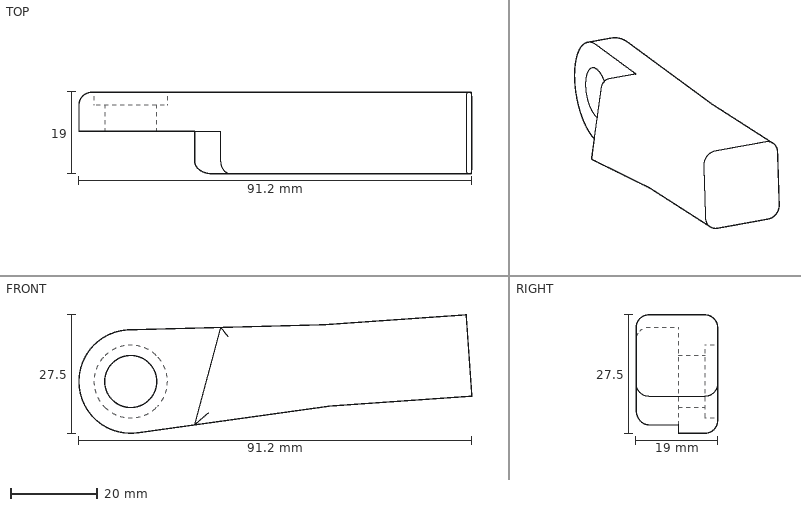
import cadquery as cq
import math

total_length = 91.2
total_height = 27.5
depth = 19.0
eye_radius = 12.0
eye_top_x = -0.9
hole_diameter = 12.0
recess_diameter = 17.0
recess_depth = 3.0
tongue_thickness = 9.1
edge_radius = 3.0
grip_width = 19.0
grip_length = 33.0
grip_angle = math.radians(4.0)
step_axis_x = 17.5
step_lean = math.radians(15.0)
cut_margin = 18.2

back_y = depth / 2
tongue_front_y = back_y - tongue_thickness


def lower_tangent_point(point):
    """Point where a line from an outside point touches the underside of the eye."""
    distance = math.hypot(*point)
    angle = math.atan2(point[1], point[0]) - math.acos(eye_radius / distance)
    return eye_radius * math.cos(angle), eye_radius * math.sin(angle)


along = (math.cos(grip_angle), math.sin(grip_angle))
across = (math.sin(grip_angle), -math.cos(grip_angle))
end_top_z = total_height - eye_radius
end_bottom_x = total_length - eye_radius
end_top = (end_bottom_x - grip_width * across[0], end_top_z)
end_bottom = (end_bottom_x, end_top_z + grip_width * across[1])
bend_top = (end_top[0] - grip_length * along[0], end_top[1] - grip_length * along[1])
bend_bottom = (end_bottom[0] - grip_length * along[0], end_bottom[1] - grip_length * along[1])

eye_top = (eye_top_x, math.sqrt(eye_radius**2 - eye_top_x**2))
eye_bottom = lower_tangent_point(bend_bottom)


def make_body():
    """Side outline of the lever extruded over the full depth."""
    return (
        cq.Workplane("XZ", origin=(0, back_y, 0))
        .moveTo(*eye_top)
        .lineTo(*bend_top)
        .lineTo(*end_top)
        .lineTo(*end_bottom)
        .lineTo(*bend_bottom)
        .lineTo(*eye_bottom)
        .threePointArc((-eye_radius, 0), eye_top)
        .close()
        .extrude(depth)
    )


def make_step_cut():
    """Block in front of the tongue, bounded by the leaning step face."""
    reach = eye_radius + cut_margin
    shift = reach * math.tan(step_lean)
    return (
        cq.Workplane("XZ", origin=(0, tongue_front_y, 0))
        .polyline([
            (-reach, -reach),
            (step_axis_x - shift, -reach),
            (step_axis_x + shift, reach),
            (-reach, reach),
        ])
        .close()
        .extrude(depth)
    )


def round_long_edges(body):
    """Round the front and back outlines, leaving the grip's end face sharp."""
    end_center = ((end_top[0] + end_bottom[0]) / 2, (end_top[1] + end_bottom[1]) / 2)

    def is_end_edge(edge):
        center = edge.Center()
        return math.hypot(center.x - end_center[0], center.z - end_center[1]) < edge_radius

    outlines = body.faces("<Y or >Y").edges()
    return body.newObject([edge for edge in outlines.vals() if not is_end_edge(edge)]).fillet(edge_radius)


def make_hole():
    """Eye hole with a wider recess in the back face."""
    hole = cq.Workplane("XZ", origin=(0, back_y, 0)).circle(hole_diameter / 2).extrude(depth)
    recess = cq.Workplane("XZ", origin=(0, back_y, 0)).circle(recess_diameter / 2).extrude(recess_depth)
    return hole.union(recess)


result = round_long_edges(make_body().cut(make_step_cut())).cut(make_hole())